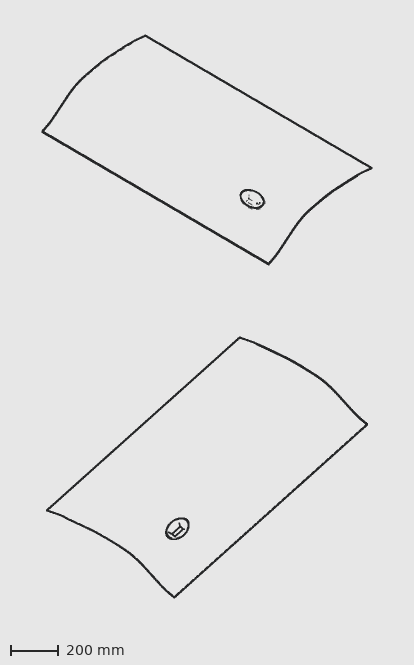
import cadquery as cq
import math

LENGTH = 1163.0
HALF_DEPTH = 368.2
THICKNESS = 7.0
TIP_THICKNESS = 3.0
CREST_HEIGHT = 106.0
LIP_HEIGHT = 45.0

LOW_EDGE = (HALF_DEPTH, -CREST_HEIGHT + TIP_THICKNESS)
LOW_EDGE_SLOPE = (-1, 0.7)
UNDERSIDE_EDGE_SLOPE = (1, -0.7)
CROWN_POINTS = [
    (263.0, -35.0),
    (166.0, 13.0),
    (69.0, 58.0),
    (-28.0, 88.0),
    (-117.0, CREST_HEIGHT),
    (-162.0, 101.0),
    (-206.0, 87.0),
    (-279.0, 58.0),
    (-308.0, 49.0),
    (-332.0, LIP_HEIGHT),
    (-HALF_DEPTH, LIP_HEIGHT),
]

DISH_X = 354.0
DISH_Y = -169.0
RIM_HEIGHT = 94.0
RIM_TILT = 13.0
RIM_RADIUS_X = 54.1
RIM_RADIUS_Y = 34.0
FLOOR_LENGTH = 41.0
FLOOR_WIDTH = 8.0
FLOOR_HEIGHT = 75.0
WALL = 5.0
BELLY_SCALE = 0.8
BELLY_HEIGHT = 83.0
BELLY_TILT = 4.0
OPENING_RISE = 23.0


def lowered(points, drop):
    return [(y, z - drop) for y, z in points]


def make_sheet():
    """Extrude the curved section along X."""
    lower_edge = (HALF_DEPTH, -CREST_HEIGHT)
    lower_crown = lowered(CROWN_POINTS, THICKNESS)
    return (
        cq.Workplane("YZ", origin=(-LENGTH / 2, 0, 0))
        .moveTo(*LOW_EDGE)
        .spline(CROWN_POINTS, tangents=[LOW_EDGE_SLOPE, (-1, 0)], includeCurrent=True)
        .lineTo(*lower_crown[-1])
        .spline(
            lower_crown[-2::-1] + [lower_edge],
            tangents=[(1, 0), UNDERSIDE_EDGE_SLOPE],
            includeCurrent=True,
        )
        .close()
        .extrude(LENGTH)
    )


def rim_wire(radius_x, radius_y, height, tilt_degrees):
    """Tilted elliptical outline in four arcs."""
    tilt = math.tan(math.radians(tilt_degrees))

    def rim_point(degrees):
        angle = math.radians(degrees)
        y = radius_y * math.sin(angle)
        return cq.Vector(DISH_X + radius_x * math.cos(angle), DISH_Y + y, height + y * tilt)

    arcs = []
    for start in (45, 135, 225, 315):
        points = [rim_point(start + step) for step in (0, 22.5, 45, 67.5, 90)]
        arcs.append(cq.Edge.makeSpline(points))
    return cq.Wire.assembleEdges(arcs)


def floor_wire(length, width, height):
    """Rectangular floor, with corners in the same order as the rim arcs."""
    signs = ((1, 1), (-1, 1), (-1, -1), (1, -1), (1, 1))
    corners = [cq.Vector(DISH_X + sx * length / 2, DISH_Y + sy * width / 2, height) for sx, sy in signs]
    return cq.Wire.makePolygon(corners)


def make_bowl(wall, rim):
    """Bowl with four curved walls; `wall` is added all round and under the floor."""
    belly = rim_wire(
        BELLY_SCALE * RIM_RADIUS_X + wall,
        BELLY_SCALE * RIM_RADIUS_Y + wall,
        BELLY_HEIGHT - wall / 2,
        BELLY_TILT,
    )
    floor = floor_wire(FLOOR_LENGTH + 2 * wall, FLOOR_WIDTH + 2 * wall, FLOOR_HEIGHT - wall)
    return cq.Workplane(obj=cq.Solid.makeLoft([rim, belly, floor], False))


cavity_rim = rim_wire(RIM_RADIUS_X, RIM_RADIUS_Y, RIM_HEIGHT, RIM_TILT)
cavity = make_bowl(0, cavity_rim)
opening = cq.Workplane(obj=cq.Solid.extrudeLinear(cavity_rim, [], cq.Vector(0, 0, OPENING_RISE)))

skin_rim = rim_wire(RIM_RADIUS_X + WALL, RIM_RADIUS_Y + WALL, RIM_HEIGHT, RIM_TILT)
skin = make_bowl(WALL, skin_rim)

result = make_sheet().union(skin).cut(opening).cut(cavity)